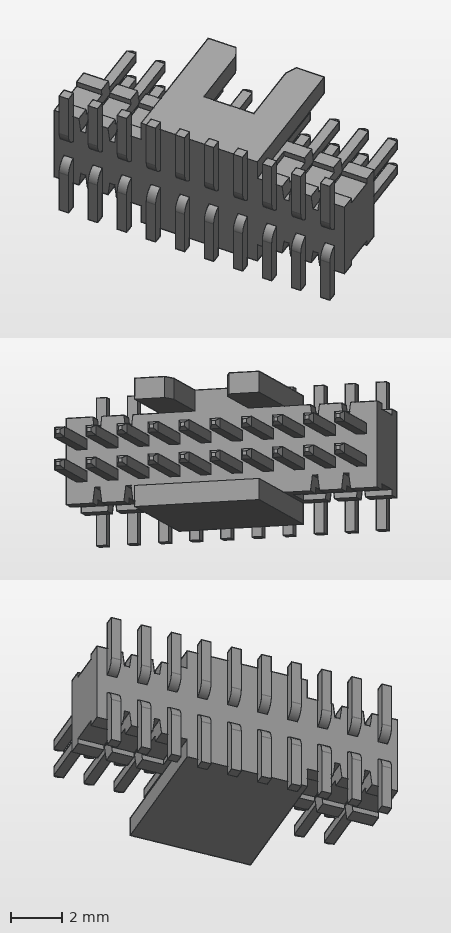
import cadquery as cq
import math

PITCH = 1.27
PINS_PER_ROW = 10
PIN_SIZE = 0.41
PIN_REACH = 3.05
TIP_LENGTH = 0.22
TIP_SIZE = 0.16
TAIL_SPAN = 5.84
BEND_HEIGHT = 0.57

BODY_LENGTH = PINS_PER_ROW * PITCH
BODY_DEPTH = 2.52
BODY_HEIGHT = 3.41

SHROUD_WIDTH = 4 * PITCH
SHROUD_HEIGHT = 4 * PITCH
SHROUD_REACH = 3.19
PLATE_DEPTH = BODY_DEPTH + SHROUD_REACH
PLATE_THICKNESS = (SHROUD_HEIGHT - BODY_HEIGHT) / 2

KEY_WIDTH = 2.19
KEY_MOUTH_WIDTH = 2.63
KEY_LEAD_IN = 0.48

GROOVE_MOUTH = 0.37
GROOVE_FLOOR = 0.21
GROOVE_DEPTH = 0.62
GROOVE_POSITIONS = [side * steps * PITCH for side in (-1, 1) for steps in (3, 4)]

RECESS_DEPTH = 0.23
RECESS_MARGIN = 0.61
RECESS_SHROUD_GAP = 0.19


def centred_box(width, depth, height, y_front):
    """Box centred on x and z that extends in +Y from y_front."""
    return cq.Workplane("XY").box(width, depth, height).translate((0, y_front + depth / 2, 0))


def mirrored_below(solid):
    """Mirror image of a solid across the z = 0 plane."""
    return solid.mirror("XY")


def make_groove(x):
    """Cutter for a tapered groove in the top of the body, running its full depth."""
    top = BODY_HEIGHT / 2
    floor = top - GROOVE_DEPTH
    profile = [
        (x - GROOVE_MOUTH / 2, top),
        (x - GROOVE_FLOOR / 2, floor),
        (x + GROOVE_FLOOR / 2, floor),
        (x + GROOVE_MOUTH / 2, top),
    ]
    return cq.Workplane("XZ").polyline(profile).close().extrude(-BODY_DEPTH)


def make_recess(side):
    """Cutter for the recess in the top of one body end, open at the end face."""
    inner_x = SHROUD_WIDTH / 2 + RECESS_SHROUD_GAP
    length = BODY_LENGTH / 2 - inner_x
    depth = BODY_DEPTH - 2 * RECESS_MARGIN
    centre = (side * (inner_x + length / 2), BODY_DEPTH / 2, BODY_HEIGHT / 2 - RECESS_DEPTH / 2)
    return cq.Workplane("XY").box(length, depth, RECESS_DEPTH).translate(centre)


def make_body():
    """Body block with grooves and recesses on its top and bottom."""
    body = centred_box(BODY_LENGTH, BODY_DEPTH, BODY_HEIGHT, 0)
    cutters = [make_groove(x) for x in GROOVE_POSITIONS]
    cutters += [make_recess(side) for side in (-1, 1)]
    for cutter in cutters:
        body = body.cut(cutter).cut(mirrored_below(cutter))
    return body


def make_upper_plate():
    """Upper shroud plate with its keying notch, flared at the mouth."""
    lead_in_y = PLATE_DEPTH - KEY_LEAD_IN
    outline = [
        (-SHROUD_WIDTH / 2, 0),
        (SHROUD_WIDTH / 2, 0),
        (SHROUD_WIDTH / 2, PLATE_DEPTH),
        (KEY_MOUTH_WIDTH / 2, PLATE_DEPTH),
        (KEY_WIDTH / 2, lead_in_y),
        (KEY_WIDTH / 2, BODY_DEPTH),
        (-KEY_WIDTH / 2, BODY_DEPTH),
        (-KEY_WIDTH / 2, lead_in_y),
        (-KEY_MOUTH_WIDTH / 2, PLATE_DEPTH),
        (-SHROUD_WIDTH / 2, PLATE_DEPTH),
    ]
    plane = cq.Workplane("XY").workplane(offset=BODY_HEIGHT / 2)
    return plane.polyline(outline).close().extrude(PLATE_THICKNESS)


def make_lower_plate():
    """Plain lower shroud plate."""
    plate = centred_box(SHROUD_WIDTH, PLATE_DEPTH, PLATE_THICKNESS, 0)
    return plate.translate((0, 0, -(BODY_HEIGHT + PLATE_THICKNESS) / 2))


def make_mating_pin():
    """Square pin with a tapered tip, on the y axis, from mid-body to its tip."""
    root_y = BODY_DEPTH / 2
    shoulder_y = BODY_DEPTH + PIN_REACH - TIP_LENGTH
    shank = centred_box(PIN_SIZE, shoulder_y - root_y, PIN_SIZE, root_y)
    tip = (
        cq.Workplane("XZ", origin=(0, shoulder_y, 0))
        .rect(PIN_SIZE, PIN_SIZE)
        .workplane(offset=-TIP_LENGTH)
        .rect(TIP_SIZE, TIP_SIZE)
        .loft(combine=True)
    )
    return shank.union(tip)


def make_tail(row_z):
    """Upright solder tail on the front face, rounded where it leaves the body."""
    bottom = row_z - PIN_SIZE / 2
    bend_top = bottom + BEND_HEIGHT
    radius = (PIN_SIZE**2 + BEND_HEIGHT**2) / (2 * PIN_SIZE)
    half_sweep = math.asin(BEND_HEIGHT / radius) / 2
    arc_middle = (
        radius - PIN_SIZE - radius * math.cos(half_sweep),
        bend_top - radius * math.sin(half_sweep),
    )
    return (
        cq.Workplane("YZ", origin=(-PIN_SIZE / 2, 0, 0))
        .moveTo(0, bottom)
        .threePointArc(arc_middle, (-PIN_SIZE, bend_top))
        .lineTo(-PIN_SIZE, TAIL_SPAN / 2)
        .lineTo(0, TAIL_SPAN / 2)
        .close()
        .extrude(PIN_SIZE)
    )


def make_connector():
    """Body and shroud with every contact of both rows."""
    connector = make_body().union(make_upper_plate()).union(make_lower_plate())
    row_z = PITCH / 2
    pin = make_mating_pin().translate((0, 0, row_z))
    tail = make_tail(row_z)
    for index in range(PINS_PER_ROW):
        x = (index - (PINS_PER_ROW - 1) / 2) * PITCH
        for piece in (pin, tail, mirrored_below(pin), mirrored_below(tail)):
            connector = connector.union(piece.translate((x, 0, 0)))
    return connector


result = make_connector()